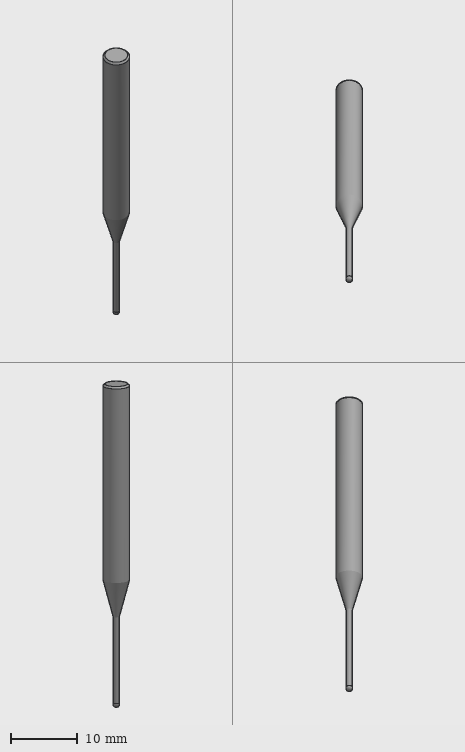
import cadquery as cq
import math

TOTAL_LENGTH = 50.0
SHANK_RADIUS = 2.0
SHANK_CHAMFER = 0.3
NECK_RADIUS = 0.475
NECK_TOP = 14.0
TAPER_HALF_ANGLE = 15.0
BALL_RADIUS = 0.5
HEAD_LENGTH = 0.7

SHANK_BOTTOM = NECK_TOP + (SHANK_RADIUS - NECK_RADIUS) / math.tan(math.radians(TAPER_HALF_ANGLE))


def revolve_about_z(profile):
    """Turn a closed XZ half-profile a full revolution about Z."""
    return profile.revolve(360, (0, 0, 0), (0, 1, 0))


def make_holder():
    """Chamfered shank, taper and slender neck in one turned piece."""
    profile = (
        cq.Workplane("XZ")
        .moveTo(0, HEAD_LENGTH)
        .lineTo(NECK_RADIUS, HEAD_LENGTH)
        .lineTo(NECK_RADIUS, NECK_TOP)
        .lineTo(SHANK_RADIUS, SHANK_BOTTOM)
        .lineTo(SHANK_RADIUS, TOTAL_LENGTH - SHANK_CHAMFER)
        .lineTo(SHANK_RADIUS - SHANK_CHAMFER, TOTAL_LENGTH)
        .lineTo(0, TOTAL_LENGTH)
        .close()
    )
    return revolve_about_z(profile)


def make_cutting_head():
    """Short cylinder ending in a hemispherical tip."""
    arc_offset = BALL_RADIUS * math.sqrt(0.5)
    profile = (
        cq.Workplane("XZ")
        .moveTo(0, 0)
        .threePointArc((arc_offset, BALL_RADIUS - arc_offset), (BALL_RADIUS, BALL_RADIUS))
        .lineTo(BALL_RADIUS, HEAD_LENGTH)
        .lineTo(0, HEAD_LENGTH)
        .close()
    )
    return revolve_about_z(profile)


holder = make_holder()
cutting_head = make_cutting_head()

result = cq.Compound.makeCompound([holder.val(), cutting_head.val()])